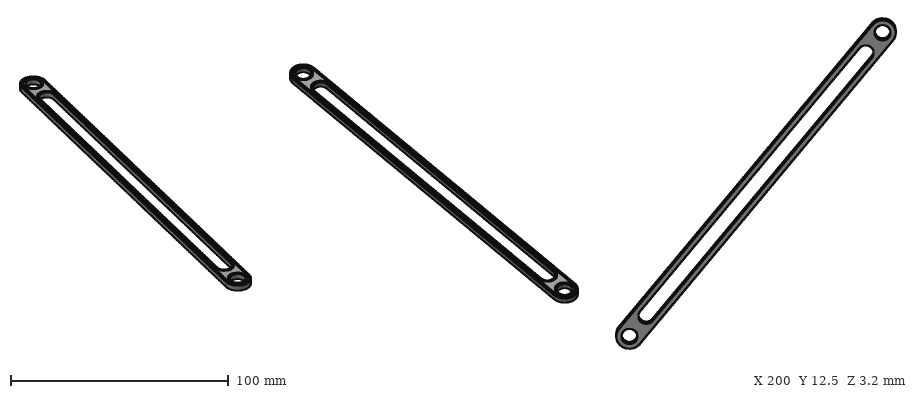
import cadquery as cq

length = 200.0
width = 12.5
thickness = 3.2
edge_chamfer = 0.3

opening_width = 7.0
slot_length = 169.5
hole_spacing = length - width

rim_outer_diameter = 9.2
rim_width = (rim_outer_diameter - opening_width) / 2
pocket_depth = 0.3

top = thickness / 2
bottom = -thickness / 2


def rounded_bar(bar_length, bar_width, base, height):
    """Solid with semicircular ends, centred on the Z axis and rising from base."""
    return cq.Workplane("XY").workplane(offset=base).slot2D(bar_length, bar_width).extrude(height)


def openings(growth, base, height):
    """The two end holes and the slot as solids, enlarged all round by growth."""
    holes = (
        cq.Workplane("XY")
        .workplane(offset=base)
        .pushPoints([(-hole_spacing / 2, 0), (hole_spacing / 2, 0)])
        .circle(opening_width / 2 + growth)
        .extrude(height)
    )
    slot = rounded_bar(slot_length + 2 * growth, opening_width + 2 * growth, base, height)
    return holes.union(slot)


def make_pocket():
    """Pocket floor area: the bar inset by the rim width, less the rims of the openings."""
    floor = top - pocket_depth
    inset = rounded_bar(length - 2 * rim_width, width - 2 * rim_width, floor, pocket_depth)
    return inset.cut(openings(rim_width, floor, pocket_depth))


plate = rounded_bar(length, width, bottom, thickness).cut(openings(0, bottom, thickness))
plate = plate.faces("|Z").edges().chamfer(edge_chamfer)

result = plate.cut(make_pocket())